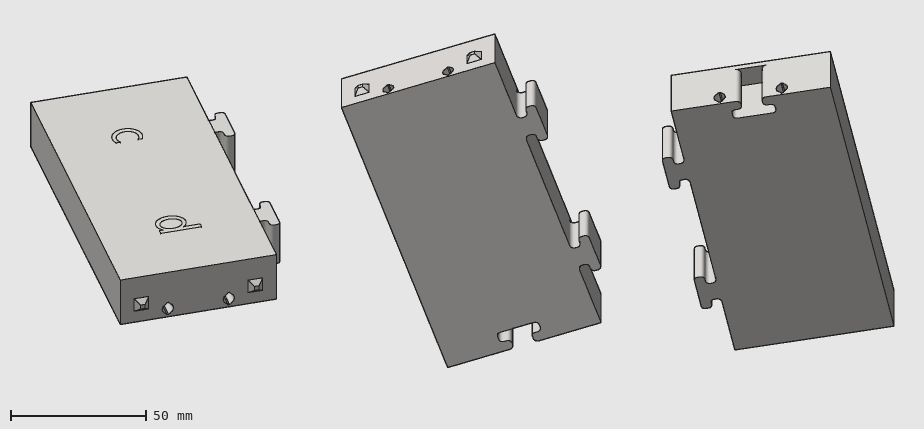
import cadquery as cq
import math

BLOCK_LENGTH = 120.0
BLOCK_WIDTH = 60.0
BLOCK_HEIGHT = 20.0
LEFT_X = -BLOCK_LENGTH / 2
RIGHT_X = BLOCK_LENGTH / 2
BACK_Y = BLOCK_WIDTH / 2

CONNECTOR_SPACING = BLOCK_LENGTH / 2
CONNECTOR_XS = (-CONNECTOR_SPACING / 2, CONNECTOR_SPACING / 2)
CONNECTOR_REACH = 7.97
CONNECTOR_HEIGHT = 17.5
HEAD_WIDTH = 15.7
HEAD_THICKNESS = 4.0
NECK_WIDTH = 8.0
HEAD_ROUNDING = 1.5
NECK_FILLET = 1.5
BASE_FLARE = 1.75

SLOT_CLEARANCE = 0.25
SLOT_DEPTH = CONNECTOR_REACH + SLOT_CLEARANCE
SLOT_HEIGHT = CONNECTOR_HEIGHT + SLOT_CLEARANCE
SLOT_HEAD_WIDTH = HEAD_WIDTH + 2 * SLOT_CLEARANCE
SLOT_HEAD_THICKNESS = HEAD_THICKNESS + SLOT_CLEARANCE

BORE_SPACING = 23.4
BORE_Z = 3.7
BORE_RADIUS = 2.1
BORE_TIP = 2.7

BUMP_SPACING = 43.8
BUMP_Z = 7.8
BUMP_BASE = 5.6
BUMP_TIP = 1.8
BUMP_REACH = 1.95

INLAY_DEPTH = 1.0
INLAY_FLOOR = BLOCK_HEIGHT - INLAY_DEPTH
BOWL_Y = -1.92
BOWL_RADIUS_Y = 5.75
COUNTER_RADIUS_Y = 4.2
C_OUTER_X = 1.35
C_OUTER_RADIUS_X = 5.35
C_INNER_X = 1.7
C_INNER_RADIUS_X = 3.8
C_END_X = 4.0
D_BOWL_X = -0.3
D_BOWL_RADIUS_X = 4.7
D_COUNTER_RADIUS_X = 3.07
D_STEM_LEFT = 3.07
D_STEM_RIGHT = 5.0
D_STEM_BOTTOM = -7.3
D_STEM_TOP = 8.4


def tee(neck_width, head_width, head_thickness, reach, height):
    """T prism: the neck flares at Y = 0 and the rounded head ends at Y = reach."""
    neck = neck_width / 2
    flare = neck + BASE_FLARE
    fillet_end = neck + NECK_FILLET
    head = head_width / 2
    underside = reach - head_thickness
    corner = head - HEAD_ROUNDING
    return (
        cq.Workplane("XY")
        .moveTo(-flare, 0)
        .lineTo(flare, 0)
        .radiusArc((neck, BASE_FLARE), BASE_FLARE)
        .lineTo(neck, underside - NECK_FILLET)
        .radiusArc((fillet_end, underside), NECK_FILLET)
        .lineTo(corner, underside)
        .radiusArc((head, underside + HEAD_ROUNDING), -HEAD_ROUNDING)
        .lineTo(head, reach - HEAD_ROUNDING)
        .radiusArc((corner, reach), -HEAD_ROUNDING)
        .lineTo(-corner, reach)
        .radiusArc((-head, reach - HEAD_ROUNDING), -HEAD_ROUNDING)
        .lineTo(-head, underside + HEAD_ROUNDING)
        .radiusArc((-corner, underside), -HEAD_ROUNDING)
        .lineTo(-fillet_end, underside)
        .radiusArc((-neck, underside - NECK_FILLET), NECK_FILLET)
        .lineTo(-neck, BASE_FLARE)
        .radiusArc((-flare, 0), BASE_FLARE)
        .close()
        .extrude(height)
    )


def connector(x):
    prism = tee(NECK_WIDTH, HEAD_WIDTH, HEAD_THICKNESS, CONNECTOR_REACH, CONNECTOR_HEIGHT)
    return prism.translate((x, BACK_Y, 0))


def slot():
    prism = tee(NECK_WIDTH, SLOT_HEAD_WIDTH, SLOT_HEAD_THICKNESS, SLOT_DEPTH, SLOT_HEIGHT)
    return prism.rotate((0, 0, 0), (0, 0, 1), -90).translate((LEFT_X, 0, 0))


def bore(y):
    tangent = BORE_RADIUS / math.sqrt(2)
    tip_half_width = 2 * tangent - BORE_TIP
    return (
        cq.Workplane("YZ", origin=(LEFT_X, y, BORE_Z))
        .moveTo(-tip_half_width, BORE_TIP)
        .lineTo(tip_half_width, BORE_TIP)
        .lineTo(tangent, tangent)
        .threePointArc((BORE_RADIUS, 0), (tangent, -tangent))
        .lineTo(tip_half_width, -BORE_TIP)
        .lineTo(-tip_half_width, -BORE_TIP)
        .lineTo(-tangent, -tangent)
        .threePointArc((-BORE_RADIUS, 0), (-tangent, tangent))
        .close()
        .extrude(BLOCK_LENGTH)
    )


def bump(y):
    plane = cq.Workplane("YZ", origin=(RIGHT_X, y, BUMP_Z))
    base = plane.rect(BUMP_BASE, BUMP_BASE)
    return base.workplane(offset=BUMP_REACH).rect(BUMP_TIP, BUMP_TIP).loft(ruled=True)


def oval(x, radius_x, radius_y):
    """Elliptical prism through the inlay depth, centered on the bowl of a letter."""
    plane = cq.Workplane("XY", origin=(x, BOWL_Y, INLAY_FLOOR))
    return plane.ellipse(radius_x, radius_y).extrude(INLAY_DEPTH)


def bar(left, right, bottom, top):
    """Rectangular prism through the inlay depth."""
    size = (right - left, top - bottom, INLAY_DEPTH)
    return cq.Workplane("XY").box(*size, centered=False).translate((left, bottom, INLAY_FLOOR))


def make_letter_c():
    ring = oval(C_OUTER_X, C_OUTER_RADIUS_X, BOWL_RADIUS_Y)
    ring = ring.cut(oval(C_INNER_X, C_INNER_RADIUS_X, COUNTER_RADIUS_Y))
    outer_right = C_OUTER_X + C_OUTER_RADIUS_X
    opening = bar(C_END_X, outer_right, BOWL_Y - BOWL_RADIUS_Y, BOWL_Y + BOWL_RADIUS_Y)
    return ring.cut(opening).translate((CONNECTOR_XS[0], 0, 0))


def make_letter_d():
    stem = bar(D_STEM_LEFT, D_STEM_RIGHT, D_STEM_BOTTOM, D_STEM_TOP)
    letter = oval(D_BOWL_X, D_BOWL_RADIUS_X, BOWL_RADIUS_Y).union(stem)
    letter = letter.cut(oval(0, D_COUNTER_RADIUS_X, COUNTER_RADIUS_Y))
    return letter.translate((CONNECTOR_XS[1], 0, 0))


def make_block(inlays):
    block = cq.Workplane("XY").box(BLOCK_LENGTH, BLOCK_WIDTH, BLOCK_HEIGHT, centered=(True, True, False))
    for x in CONNECTOR_XS:
        block = block.union(connector(x))
    block = block.cut(slot())
    for side in (-1, 1):
        block = block.union(bump(side * BUMP_SPACING / 2))
        block = block.cut(bore(side * BORE_SPACING / 2))
    for inlay in inlays:
        block = block.cut(inlay)
    return block


letter_c = make_letter_c()
letter_d = make_letter_d()
block = make_block([letter_c, letter_d])

result = cq.Compound.makeCompound([block.val(), letter_c.val(), letter_d.val()])